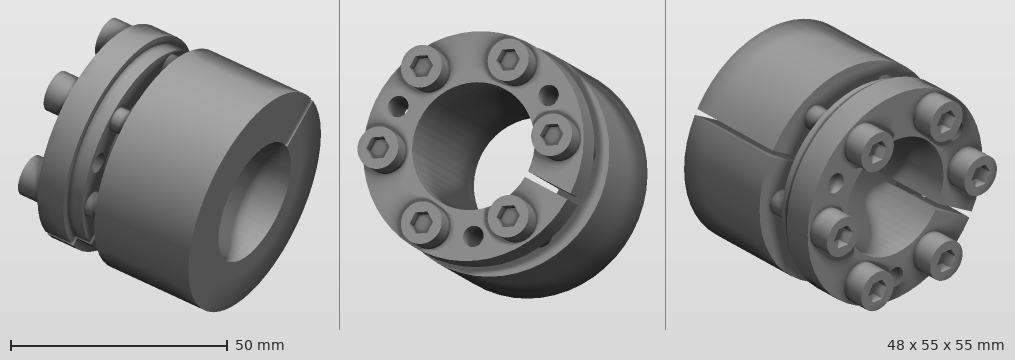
import cadquery as cq
import math

HEAD_LENGTH = 5.9
FLANGE_LENGTH = 7.2
COLLAR_LENGTH = 3.9
GAP_LENGTH = 4.95
OUTER_RING_LENGTH = 26.05

FLANGE_X = HEAD_LENGTH
COLLAR_X = FLANGE_X + FLANGE_LENGTH
GAP_X = COLLAR_X + COLLAR_LENGTH
OUTER_RING_X = GAP_X + GAP_LENGTH
END_X = OUTER_RING_X + OUTER_RING_LENGTH

OUTER_RING_RADIUS = 27.5
FLANGE_RADIUS = 27.0
COLLAR_RADIUS = 25.0
BORE_RADIUS = 15.0

CONE_START_RADIUS = 17.55
CONE_END_RADIUS = 15.1
CONE_SLOPE = (CONE_START_RADIUS - CONE_END_RADIUS) / (END_X - GAP_X)
CONE_MOUTH_RADIUS = CONE_START_RADIUS - CONE_SLOPE * GAP_LENGTH

PITCH_DIAMETER = 42.5
SCREW_COUNT = 6
SCREW_ANGLES = [index * 360 / SCREW_COUNT for index in range(SCREW_COUNT)]
HEAD_DIAMETER = 10.0
SHANK_DIAMETER = 6.0
JACK_HOLE_DIAMETER = 5.0
JACK_HOLE_ANGLES = (30, 150, 270)

SOCKET_SIDES = 6
SOCKET_ACROSS_FLATS = 5.0
SOCKET_ACROSS_CORNERS = SOCKET_ACROSS_FLATS / math.cos(math.pi / SOCKET_SIDES)
SOCKET_DEPTH = 3.0

SLIT_WIDTH = 1.5
OUTER_SLIT_ANGLE = 30
INNER_SLIT_ANGLE = OUTER_SLIT_ANGLE + 180


def ring_from_profile(points):
    """Revolve a closed outline of (x, radius) points around the X axis."""
    return cq.Workplane("XY").polyline(points).close().revolve(360, (0, 0, 0), (1, 0, 0))


def pitch_circle_plane(x, angle):
    """Workplane facing +X, centred on the pitch circle at the given angle."""
    center_y = PITCH_DIAMETER / 2 * math.cos(math.radians(angle))
    center_z = PITCH_DIAMETER / 2 * math.sin(math.radians(angle))
    return cq.Workplane("YZ", origin=(x, center_y, center_z))


def rod(start_x, end_x, diameter, angle):
    """Cylinder parallel to X, centred on the pitch circle."""
    return pitch_circle_plane(start_x, angle).circle(diameter / 2).extrude(end_x - start_x)


def slit_blade(angle):
    """Flat radial blade from the X axis to beyond the rings, over the full length."""
    blade = cq.Workplane("XY").box(
        END_X, 2 * OUTER_RING_RADIUS, SLIT_WIDTH, centered=(False, False, True)
    )
    return blade.rotate((0, 0, 0), (1, 0, 0), angle)


def make_inner_ring():
    """Flanged ring with a tapered sleeve, straight bore, screw and jacking holes, and a slit."""
    ring = ring_from_profile([
        (FLANGE_X, BORE_RADIUS),
        (FLANGE_X, FLANGE_RADIUS),
        (COLLAR_X, FLANGE_RADIUS),
        (COLLAR_X, COLLAR_RADIUS),
        (GAP_X, COLLAR_RADIUS),
        (GAP_X, CONE_START_RADIUS),
        (END_X, CONE_END_RADIUS),
        (END_X, BORE_RADIUS),
    ])
    for angle in SCREW_ANGLES:
        ring = ring.cut(rod(FLANGE_X, GAP_X, SHANK_DIAMETER, angle))
    for angle in JACK_HOLE_ANGLES:
        ring = ring.cut(rod(FLANGE_X, GAP_X, JACK_HOLE_DIAMETER, angle))
    return ring.cut(slit_blade(INNER_SLIT_ANGLE))


def make_outer_ring():
    """Plain cylinder with a tapered bore, through holes for the screws and a slit."""
    ring = ring_from_profile([
        (OUTER_RING_X, CONE_MOUTH_RADIUS),
        (OUTER_RING_X, OUTER_RING_RADIUS),
        (END_X, OUTER_RING_RADIUS),
        (END_X, CONE_END_RADIUS),
    ])
    for angle in SCREW_ANGLES:
        ring = ring.cut(rod(OUTER_RING_X, END_X, SHANK_DIAMETER, angle))
    return ring.cut(slit_blade(OUTER_SLIT_ANGLE))


def make_screw(angle):
    """Socket head cap screw whose shank ends flush with the outer ring."""
    head = rod(0, HEAD_LENGTH, HEAD_DIAMETER, angle)
    shank = rod(HEAD_LENGTH, END_X, SHANK_DIAMETER, angle)
    socket = (
        pitch_circle_plane(0, angle)
        .polygon(SOCKET_SIDES, SOCKET_ACROSS_CORNERS)
        .extrude(SOCKET_DEPTH)
    )
    return head.union(shank).cut(socket)


inner_ring = make_inner_ring()
outer_ring = make_outer_ring()
screws = [make_screw(angle) for angle in SCREW_ANGLES]

result = cq.Compound.makeCompound([
    inner_ring.val(),
    outer_ring.val(),
    *[screw.val() for screw in screws],
])